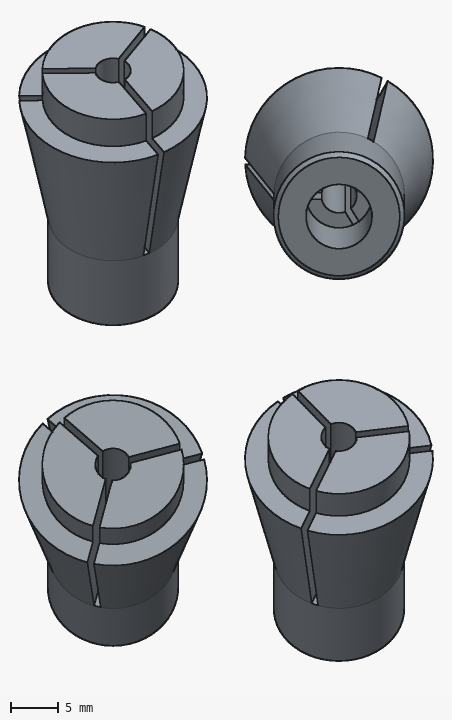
import cadquery as cq

total_height = 31.3
shank_height = 10.02
cap_height = 3.98
shank_radius = 13.9 / 2
cone_top_radius = 20.0 / 2
cap_radius = 15.02 / 2
bottom_chamfer = 0.5
grip_bore_radius = 3.75 / 2
shank_bore_radius = 7.0 / 2
slot_width = 0.72
slot_count = 3

shoulder_z = total_height - cap_height


def collet_body():
    """Revolve the shank, cone and cap with their stepped bore about Z."""
    return (
        cq.Workplane("XZ")
        .moveTo(shank_bore_radius, 0)
        .lineTo(shank_radius - bottom_chamfer, 0)
        .lineTo(shank_radius, bottom_chamfer)
        .lineTo(shank_radius, shank_height)
        .lineTo(cone_top_radius, shoulder_z)
        .lineTo(cap_radius, shoulder_z)
        .lineTo(cap_radius, total_height)
        .lineTo(grip_bore_radius, total_height)
        .lineTo(grip_bore_radius, shank_height)
        .lineTo(shank_bore_radius, shank_height)
        .close()
        .revolve(360, (0, 0, 0), (0, 1, 0))
    )


def radial_slot(angle):
    """Slot from the axis outward, open at the top, with its floor at the base of the cone."""
    return (
        cq.Workplane("XY")
        .box(cone_top_radius, slot_width, total_height - shank_height, centered=(False, True, False))
        .translate((0, 0, shank_height))
        .rotate((0, 0, 0), (0, 0, 1), angle)
    )


result = collet_body()
for index in range(slot_count):
    result = result.cut(radial_slot(index * 360 / slot_count))